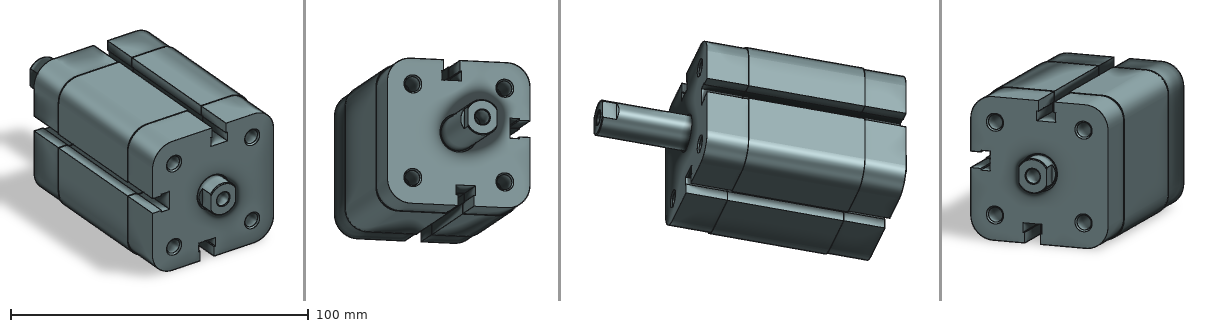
import cadquery as cq
import math

ROD_LENGTH = 106.5
ROD_FRONT = 30.9
CAP_LENGTH = 14.5
BARREL_LENGTH = 40.7
BARREL_START = ROD_FRONT + CAP_LENGTH
BARREL_END = BARREL_START + BARREL_LENGTH

BARREL_WIDTH = 50.0
BARREL_CORNER_RADIUS = 7.9
CAP_WIDTH = 49.5
CAP_CORNER_RADIUS = 8.1

SLOT_OFFSET = 2.5
BARREL_NECK_WIDTH = 5.2
BARREL_SLOT_WIDTH = 6.4
BARREL_LIP_LEVEL = 21.3
BARREL_FLOOR_LEVEL = 18.0
CAP_SLOT_CLEARANCE = 0.2
SLOT_TURNS = (0, 90, 180)

HOLE_SPACING = 32.0
HOLE_DIAMETER = 5.1
HOLE_CHAMFER = 0.5

ROD_DIAMETER = 12.0
ROD_CHAMFER = 0.3
BORE_CHAMFER = 0.5
FLATS_WIDTH = 10.0
FLATS_LENGTH = 4.9
FLATS_RUNOUT = 0.6
THREAD_DIAMETER = 5.0
THREAD_CHAMFER = 0.27
THREAD_DEPTH = 12.8
DRILL_POINT_ANGLE = 118.0


def slot_cutter(start, length, neck_width, slot_width, lip_level, floor_level):
    """T-shaped bar that cuts the slot of the top side."""
    neck_height = BARREL_WIDTH / 2 - floor_level
    neck = cq.Workplane("XY").box(length, neck_width, neck_height, centered=(False, True, False))
    head = cq.Workplane("XY").box(
        length, slot_width, lip_level - floor_level, centered=(False, True, False)
    )
    return neck.union(head).translate((start, SLOT_OFFSET, floor_level))


def section(start, length, width, corner_radius, slot_clearance):
    """Slotted square block with its four fixing holes and the rod bore."""
    block = cq.Workplane("XY").box(length, width, width, centered=(False, True, True))
    block = block.edges("|X").fillet(corner_radius).translate((start, 0, 0))
    cutter = slot_cutter(
        start,
        length,
        BARREL_NECK_WIDTH + 2 * slot_clearance,
        BARREL_SLOT_WIDTH + 2 * slot_clearance,
        BARREL_LIP_LEVEL - slot_clearance,
        BARREL_FLOOR_LEVEL - slot_clearance,
    )
    for turn in SLOT_TURNS:
        block = block.cut(cutter.rotate((0, 0, 0), (1, 0, 0), turn))
    face = cq.Workplane("YZ", origin=(start, 0, 0))
    holes = face.rect(HOLE_SPACING, HOLE_SPACING, forConstruction=True).vertices()
    block = block.cut(holes.circle(HOLE_DIAMETER / 2).extrude(length))
    return block.cut(face.circle(ROD_DIAMETER / 2).extrude(length))


def mirror_lengthwise(body):
    """Mirror image of a body about the middle of the barrel."""
    middle = (BARREL_START + BARREL_END) / 2
    return body.mirror("YZ", (middle, 0, 0))


def make_front_cap():
    cap = section(ROD_FRONT, CAP_LENGTH, CAP_WIDTH, CAP_CORNER_RADIUS, CAP_SLOT_CLEARANCE)
    bore_mouth = cq.selectors.RadiusNthSelector(1)
    hole_mouths = cq.selectors.RadiusNthSelector(0)
    cap = cap.faces("<X").edges("%CIRCLE").edges(bore_mouth).chamfer(BORE_CHAMFER)
    return cap.faces("<X").edges("%CIRCLE").edges(hole_mouths).chamfer(HOLE_CHAMFER)


def make_barrel():
    return section(BARREL_START, BARREL_LENGTH, BARREL_WIDTH, BARREL_CORNER_RADIUS, 0)


def threaded_hole_cutter():
    """Blind hole with a chamfered mouth at X = 0 and a conical drill point."""
    radius = THREAD_DIAMETER / 2
    point_length = radius / math.tan(math.radians(DRILL_POINT_ANGLE / 2))
    profile = [
        (0, 0),
        (0, radius + THREAD_CHAMFER),
        (THREAD_CHAMFER, radius),
        (THREAD_DEPTH, radius),
        (THREAD_DEPTH + point_length, 0),
    ]
    return cq.Workplane("XY").polyline(profile).close().revolve(360, (0, 0, 0), (1, 0, 0))


def flats_cutter():
    """Pair of prisms that cut the wrench flats and their sloping shoulders at X = 0."""
    flat_level = FLATS_WIDTH / 2
    rod_radius = ROD_DIAMETER / 2
    profile = [
        (0, flat_level),
        (FLATS_LENGTH, flat_level),
        (FLATS_LENGTH + FLATS_RUNOUT, rod_radius),
        (0, rod_radius),
    ]
    prism = cq.Workplane("XY").polyline(profile).close().extrude(rod_radius, both=True)
    return prism.union(prism.mirror("XZ"))


def make_rod():
    rod = cq.Workplane("YZ").circle(ROD_DIAMETER / 2).extrude(ROD_LENGTH)
    rod = rod.faces("<X or >X").edges().chamfer(ROD_CHAMFER)
    front_cutter = threaded_hole_cutter().union(flats_cutter())
    rear_cutter = front_cutter.mirror("YZ", (ROD_LENGTH / 2, 0, 0))
    return rod.cut(front_cutter).cut(rear_cutter)


front_cap = make_front_cap()
rear_cap = mirror_lengthwise(front_cap)
barrel = make_barrel()
rod = make_rod()

result = cq.Compound.makeCompound([front_cap.val(), barrel.val(), rear_cap.val(), rod.val()])